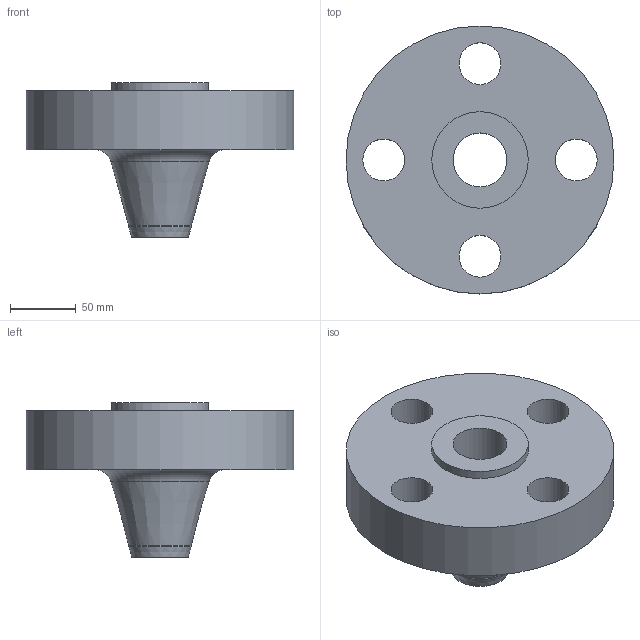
import cadquery as cq
import math

flange_diameter = 203.2
flange_thickness = 44.45
face_diameter = 73.2
face_height = 6.35
bore_diameter = 40.9

bolt_count = 4
bolt_circle_diameter = 146.05
bolt_hole_diameter = 31.75

overall_height = 117.47
neck_length = overall_height - flange_thickness - face_height

neck_top_diameter = 74.4
neck_top_depth = 9.3

pipe_diameter = 47.6
land_length = 1.2
bevel_length = 8.1
tip_diameter = 42.9

fillet_radius = 12.7


def bolt_hole_cutter():
    """Cylinders on the bolt circle, aligned with the X and Y axes."""
    return (
        cq.Workplane("XY")
        .polarArray(bolt_circle_diameter / 2, 0, 360, bolt_count)
        .circle(bolt_hole_diameter / 2)
        .extrude(flange_thickness)
    )


def flange_body():
    """Revolve the half section of the flange, raised face and bored neck."""
    bore_radius = bore_diameter / 2
    bevel_top_z = bevel_length - neck_length
    land_top_z = bevel_top_z + land_length
    face_z = flange_thickness + face_height

    neck_growth = (neck_top_diameter - pipe_diameter) / 2
    neck_slope = neck_growth / (-neck_top_depth - land_top_z)
    taper = math.atan(neck_slope)
    fillet_depth = fillet_radius * (1 - math.sin(taper))
    tangent_radius = neck_top_diameter / 2 + (neck_top_depth - fillet_depth) * neck_slope
    centre_radius = tangent_radius + fillet_radius * math.cos(taper)
    mid_angle = (math.pi / 2 + math.pi - taper) / 2
    fillet_middle = (
        centre_radius + fillet_radius * math.cos(mid_angle),
        -fillet_radius + fillet_radius * math.sin(mid_angle),
    )

    return (
        cq.Workplane("XZ")
        .moveTo(bore_radius, -neck_length)
        .lineTo(tip_diameter / 2, -neck_length)
        .lineTo(pipe_diameter / 2, bevel_top_z)
        .lineTo(pipe_diameter / 2, land_top_z)
        .lineTo(tangent_radius, -fillet_depth)
        .threePointArc(fillet_middle, (centre_radius, 0))
        .lineTo(flange_diameter / 2, 0)
        .lineTo(flange_diameter / 2, flange_thickness)
        .lineTo(face_diameter / 2, flange_thickness)
        .lineTo(face_diameter / 2, face_z)
        .lineTo(bore_radius, face_z)
        .close()
        .revolve(360, (0, 0, 0), (0, 1, 0))
    )


result = flange_body().cut(bolt_hole_cutter())